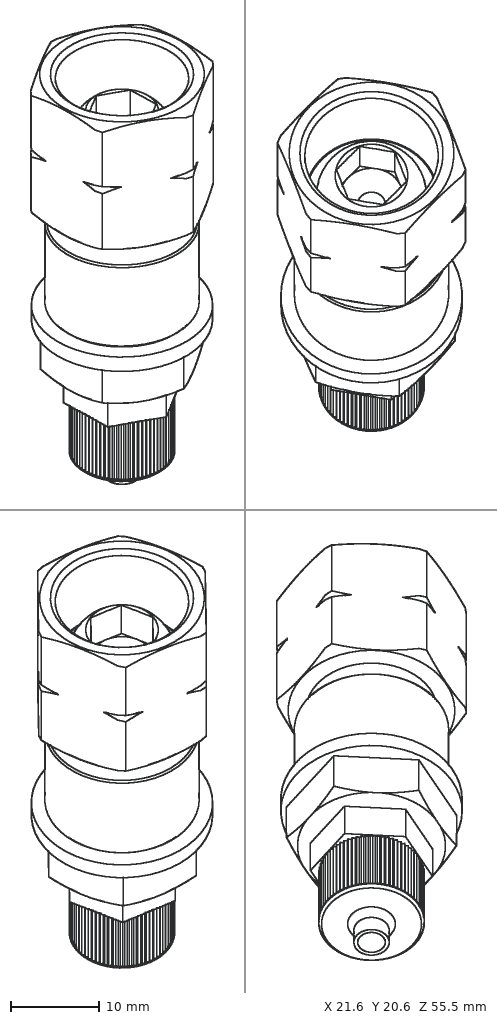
import cadquery as cq
import math

SPIGOT_TOP = 2.0
GLAND_BOTTOM = 3.0
KNURL_BOTTOM = 3.45
KNURL_TOP = 11.35
GLAND_TOP = 15.85
FLANGE_BOTTOM = 21.55
FLANGE_TOP = 23.55
SLEEVE_TOP = 35.1
NUT_BOTTOM = 38.05
DOME_BASE = 45.85
TOP = 55.55

BORE_RADIUS = 1.55
SPIGOT_RADIUS = 2.0
STEM_RADIUS = 2.95

GLAND_AF = 12.0
KNURL_RADIUS = GLAND_AF / 2
KNURL_TEETH = 72
KNURL_DEPTH = 0.2
LIP_CHAMFER = 0.35

FLANGE_RADIUS = 10.3
FLANGE_NUT_AF = 16.7
FLANGE_NUT_FACE_RADIUS = 8.4
FLANGE_NUT_SLOPE = 30

SLEEVE_DIA = 17.5
SLEEVE_RADIUS = SLEEVE_DIA / 2
SLEEVE_BOTTOM_CHAMFER = 0.45
SLEEVE_TOP_CHAMFER = 0.2
NECK_RADIUS = 7.45
NECK_FILLET = 0.35
DOME_RADIUS = 6.3
DOME_RIM_RADIUS = 4.1
SOCKET_AF = 7.0
SOCKET_BORE_DIA = 7.05
SOCKET_DEPTH = 4.45

NUT_AF = 19.0
NUT_CORNER_SETBACK_CLOCKWISE = 0.7
NUT_CORNER_SETBACK_ANTICLOCKWISE = 0.35
NUT_BORE_RADIUS = 7.55
NUT_MOUTH_RADIUS = 8.1
NUT_MOUTH_CHAMFER = 0.55
NUT_TOP_FACE_RADIUS = 9.35
NUT_BOTTOM_FACE_RADIUS = 9.45
NUT_TOP_SLOPE = 22
NUT_BOTTOM_SLOPE = 27
NUT_GROOVE_HEIGHT = 46.95
NUT_GROOVE_ROOT_RADIUS = 9.95
NUT_GROOVE_SLOPE = 30

BEVEL_REACH = 2.8


def revolved(points):
    """Solid swept around Z from (radius, height) points."""
    return cq.Workplane("XZ").polyline(points).close().revolve(360, (0, 0), (0, 1))


def cylinder(radius, bottom, top):
    return cq.Workplane("XY").workplane(offset=bottom).circle(radius).extrude(top - bottom)


def hexagon(across_flats, bottom, top):
    """Hexagonal prism with two corners on the X axis."""
    corner_dia = across_flats / math.cos(math.radians(30))
    return cq.Workplane("XY").workplane(offset=bottom).polygon(6, corner_dia).extrude(top - bottom)


def end_chamfer(face_height, face_radius, slope, inward):
    """Cutter that bevels hexagon corners; inward is +1 for a bottom end and -1 for a top end."""
    drop = inward * BEVEL_REACH * math.tan(math.radians(slope))
    outer_radius = face_radius + BEVEL_REACH
    return revolved([
        (face_radius, face_height),
        (outer_radius, face_height),
        (outer_radius, face_height + drop),
    ])


def make_stem():
    """Tube with a ball-shaped shoulder above the spigot."""
    shoulder_drop = math.sqrt(STEM_RADIUS**2 - SPIGOT_RADIUS**2)
    shoulder_centre = SPIGOT_TOP + shoulder_drop
    mid = math.atan2(shoulder_drop, SPIGOT_RADIUS) / 2
    shoulder_mid = (STEM_RADIUS * math.cos(mid), shoulder_centre - STEM_RADIUS * math.sin(mid))
    return (
        cq.Workplane("XZ")
        .moveTo(BORE_RADIUS, 0)
        .lineTo(SPIGOT_RADIUS, 0)
        .lineTo(SPIGOT_RADIUS, SPIGOT_TOP)
        .threePointArc(shoulder_mid, (STEM_RADIUS, shoulder_centre))
        .lineTo(STEM_RADIUS, FLANGE_TOP)
        .lineTo(BORE_RADIUS, FLANGE_TOP)
        .close()
        .revolve(360, (0, 0), (0, 1))
    )


def stem_hole():
    """The space the stem fills, bore included."""
    return make_stem().union(cylinder(BORE_RADIUS, 0, FLANGE_TOP))


def make_gland():
    """Knurled grip with a bevelled lip below it and a small hexagon above."""
    tooth_points = []
    for i in range(KNURL_TEETH * 2):
        angle = math.pi * i / KNURL_TEETH
        radius = KNURL_RADIUS - KNURL_DEPTH * (i % 2)
        tooth_points.append((radius * math.cos(angle), radius * math.sin(angle)))
    knurl = (
        cq.Workplane("XY")
        .workplane(offset=KNURL_BOTTOM)
        .polyline(tooth_points)
        .close()
        .extrude(KNURL_TOP - KNURL_BOTTOM)
    )
    lip = cylinder(KNURL_RADIUS, GLAND_BOTTOM, KNURL_BOTTOM).faces("<Z").chamfer(LIP_CHAMFER)
    gland = knurl.union(lip).union(hexagon(GLAND_AF, KNURL_TOP, GLAND_TOP))
    return gland.cut(stem_hole())


def make_flange_nut():
    """Hexagon with a round flange on top, bevelled at its lower end."""
    nut = hexagon(FLANGE_NUT_AF, GLAND_TOP, FLANGE_BOTTOM)
    nut = nut.cut(end_chamfer(GLAND_TOP, FLANGE_NUT_FACE_RADIUS, FLANGE_NUT_SLOPE, 1))
    nut = nut.union(cylinder(FLANGE_RADIUS, FLANGE_BOTTOM, FLANGE_TOP))
    return nut.cut(stem_hole())


def make_body():
    """Sleeve, neck and ball-shaped seat with a hexagon socket."""
    sleeve = (
        cylinder(SLEEVE_RADIUS, FLANGE_TOP, SLEEVE_TOP)
        .faces("<Z").chamfer(SLEEVE_BOTTOM_CHAMFER)
        .faces(">Z").chamfer(SLEEVE_TOP_CHAMFER)
    )
    body = sleeve.union(cylinder(NECK_RADIUS, SLEEVE_TOP, DOME_BASE))
    body = body.faces("|Z").faces(">Z[-2]").edges(cq.selectors.RadiusNthSelector(0)).fillet(NECK_FILLET)

    dome_height = math.sqrt(DOME_RADIUS**2 - DOME_RIM_RADIUS**2)
    dome_top = DOME_BASE + dome_height
    ball = cq.Workplane("XY").sphere(DOME_RADIUS).translate((0, 0, DOME_BASE))
    dome = ball.intersect(cylinder(DOME_RADIUS, DOME_BASE, dome_top))
    body = body.union(dome)

    socket_floor = dome_top - SOCKET_DEPTH
    socket_radius = SOCKET_BORE_DIA / 2
    cone_bottom = socket_floor - (socket_radius - BORE_RADIUS)
    passage = revolved([
        (0, FLANGE_TOP),
        (BORE_RADIUS, FLANGE_TOP),
        (BORE_RADIUS, cone_bottom),
        (socket_radius, socket_floor),
        (socket_radius, dome_top),
        (0, dome_top),
    ])
    return body.cut(passage).cut(hexagon(SOCKET_AF, socket_floor, dome_top))


def make_union_nut():
    """Large hexagon with skewed corner bevels, a waist groove and an open mouth."""
    side = NUT_AF / math.sqrt(3)
    corner_cuts = ((-120, NUT_CORNER_SETBACK_CLOCKWISE), (120, NUT_CORNER_SETBACK_ANTICLOCKWISE))
    outline = []
    for i in range(6):
        angle = math.radians(60 * i)
        corner = cq.Vector(side * math.cos(angle), side * math.sin(angle))
        for turn, setback in corner_cuts:
            heading = angle + math.radians(turn)
            point = corner + cq.Vector(math.cos(heading), math.sin(heading)) * setback
            outline.append((point.x, point.y))
    nut = (
        cq.Workplane("XY")
        .workplane(offset=NUT_BOTTOM)
        .polyline(outline)
        .close()
        .extrude(TOP - NUT_BOTTOM)
    )
    nut = nut.cut(end_chamfer(TOP, NUT_TOP_FACE_RADIUS, NUT_TOP_SLOPE, -1))
    nut = nut.cut(end_chamfer(NUT_BOTTOM, NUT_BOTTOM_FACE_RADIUS, NUT_BOTTOM_SLOPE, 1))

    groove_reach = side - NUT_GROOVE_ROOT_RADIUS
    groove_half_width = groove_reach * math.tan(math.radians(NUT_GROOVE_SLOPE))
    nut = nut.cut(revolved([
        (NUT_GROOVE_ROOT_RADIUS, NUT_GROOVE_HEIGHT),
        (side, NUT_GROOVE_HEIGHT - groove_half_width),
        (side, NUT_GROOVE_HEIGHT + groove_half_width),
    ]))

    opening = revolved([
        (0, NUT_BOTTOM),
        (NECK_RADIUS, NUT_BOTTOM),
        (NECK_RADIUS, DOME_BASE),
        (NUT_BORE_RADIUS, DOME_BASE),
        (NUT_BORE_RADIUS, TOP - NUT_MOUTH_CHAMFER),
        (NUT_MOUTH_RADIUS, TOP),
        (0, TOP),
    ])
    return nut.cut(opening)


stem = make_stem()
gland = make_gland()
flange_nut = make_flange_nut()
body = make_body()
union_nut = make_union_nut()

result = cq.Compound.makeCompound([
    stem.val(),
    gland.val(),
    flange_nut.val(),
    body.val(),
    union_nut.val(),
])